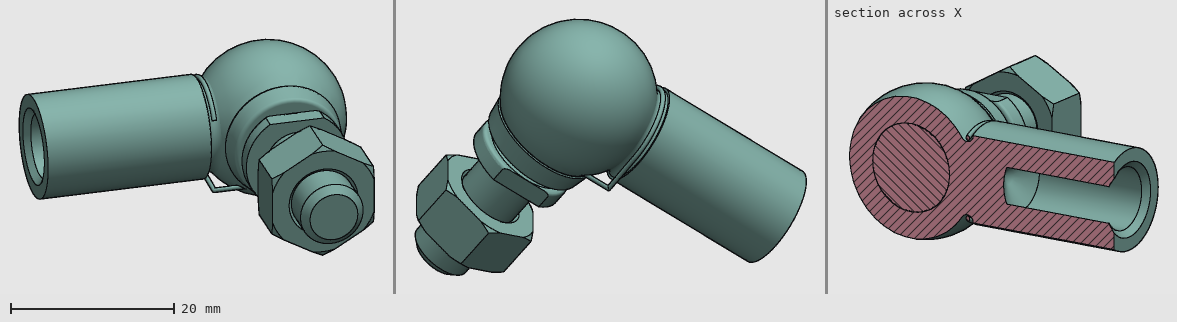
import cadquery as cq
import math

HEAD_RADIUS = 9.65
RIM_X = 6.55
BALL_RADIUS = 6.5

SHANK_RADIUS = 6.5
SHANK_END = 29.92
SHANK_START = 9.05
NECK_START = 7.6
NECK_RADIUS = 5.75
NECK_SHOULDER_RADIUS = 6.17

THREAD_RADIUS = 4.0
BORE_DEPTH = 15.85
BORE_CHAMFER = 0.8
DRILL_POINT_ANGLE = 118.0

SEAL_END_X = 9.65
SEAL_LARGE_RADIUS = 7.35
SEAL_SMALL_RADIUS = 6.8
SEAL_EDGE_CHAMFER = 0.15
SEAL_EDGE_FILLET = 0.5

STUD_NECK_RADIUS = 4.27
FLARE_RADIUS = 5.45
FLARE_SAG = 0.15
FLANGE_START_X = 10.65
FLANGE_END_X = 13.0
FLANGE_RADIUS = 6.5
FLANGE_ACROSS_FLATS = 11.0
FLANGE_EDGE_ROUND = 0.47
STUD_END_X = 29.4
STUD_END_CHAMFER = 0.95

NUT_START_X = 18.3
NUT_HEIGHT = 6.5
NUT_ACROSS_FLATS = 13.0
NUT_FACE_RADIUS = 6.8
NUT_CHAMFER_ANGLE = 30.0
NUT_COUNTERSINK = 0.4

WIRE_RADIUS = 0.295
CLIP_RADIUS = 6.1
CLIP_Y = -8.35
CLIP_OPEN_ANGLE = 31.0
CLIP_LEG_SLOPE = 3.0
CLIP_LEG_X = 5.2
CLIP_LEG_END_Y = -3.55


def revolve_about_x(profile):
    """Closed profile in XY (x along the axis, y as radius) turned into a solid."""
    return profile.close().revolve(360, (0, 0, 0), (1, 0, 0))


def revolve_about_y(profile):
    """Closed profile in XY (y along the axis, x as radius) turned into a solid."""
    return profile.close().revolve(360, (0, 0, 0), (0, 1, 0))


def polar_on_clip(angle):
    """Point on the clip circle, as (x, z)."""
    turn = math.radians(angle)
    return CLIP_RADIUS * math.cos(turn), CLIP_RADIUS * math.sin(turn)


LEG_TANGENT_ANGLE = 270.0 - CLIP_LEG_SLOPE
LEG_TANGENT_X, LEG_TANGENT_Z = polar_on_clip(LEG_TANGENT_ANGLE)
CLIP_LEG_Z = LEG_TANGENT_Z - (CLIP_LEG_X - LEG_TANGENT_X) * math.tan(math.radians(CLIP_LEG_SLOPE))


def make_leg_end():
    """Straight end of the wire that runs along +Y into the head."""
    return (
        cq.Workplane("XZ", origin=(CLIP_LEG_X, CLIP_Y, CLIP_LEG_Z))
        .circle(WIRE_RADIUS)
        .extrude(CLIP_Y - CLIP_LEG_END_Y)
    )


def make_clip():
    """Wire around the neck whose lower end runs straight, then turns into the head."""
    start_x, start_z = polar_on_clip(CLIP_OPEN_ANGLE)
    middle_angle = (CLIP_OPEN_ANGLE + LEG_TANGENT_ANGLE) / 2
    path = (
        cq.Workplane("XZ", origin=(0, CLIP_Y, 0))
        .moveTo(start_x, start_z)
        .threePointArc(polar_on_clip(middle_angle), (LEG_TANGENT_X, LEG_TANGENT_Z))
        .lineTo(CLIP_LEG_X, CLIP_LEG_Z)
    )
    open_turn = math.radians(CLIP_OPEN_ANGLE)
    wire_section = cq.Plane(
        origin=(start_x, CLIP_Y, start_z),
        xDir=(0, 1, 0),
        normal=(-math.sin(open_turn), 0, math.cos(open_turn)),
    )
    ring_and_leg = cq.Workplane(wire_section).circle(WIRE_RADIUS).sweep(path)
    corner = cq.Workplane("XY", origin=(CLIP_LEG_X, CLIP_Y, CLIP_LEG_Z)).sphere(WIRE_RADIUS)
    return ring_and_leg.union(corner).union(make_leg_end())


def make_housing():
    """Spherical head with a ball socket toward +X and a bored shank toward -Y."""
    head_edge_radius = math.sqrt(HEAD_RADIUS**2 - NECK_START**2)
    body = revolve_about_y(
        cq.Workplane("XY")
        .moveTo(0, HEAD_RADIUS)
        .threePointArc((HEAD_RADIUS, 0), (head_edge_radius, -NECK_START))
        .threePointArc((NECK_RADIUS, CLIP_Y), (NECK_SHOULDER_RADIUS, -SHANK_START))
        .lineTo(SHANK_RADIUS, -SHANK_START)
        .lineTo(SHANK_RADIUS, -SHANK_END)
        .lineTo(0, -SHANK_END)
    )
    beyond_rim = (
        cq.Workplane("YZ", origin=(RIM_X, 0, 0))
        .rect(2 * HEAD_RADIUS, 2 * HEAD_RADIUS)
        .extrude(HEAD_RADIUS)
    )

    bore_floor = -SHANK_END + BORE_DEPTH
    drill_point = THREAD_RADIUS / math.tan(math.radians(DRILL_POINT_ANGLE / 2))
    bore = revolve_about_y(
        cq.Workplane("XY")
        .moveTo(0, -SHANK_END)
        .lineTo(THREAD_RADIUS + BORE_CHAMFER, -SHANK_END)
        .lineTo(THREAD_RADIUS, -SHANK_END + BORE_CHAMFER)
        .lineTo(THREAD_RADIUS, bore_floor)
        .lineTo(0, bore_floor + drill_point)
    )

    socket = revolve_about_x(
        cq.Workplane("XY")
        .moveTo(-BALL_RADIUS, 0)
        .radiusArc((0, BALL_RADIUS), BALL_RADIUS)
        .lineTo(RIM_X, BALL_RADIUS)
        .lineTo(RIM_X, 0)
    )
    return body.cut(beyond_rim).cut(bore).cut(socket).cut(make_leg_end())


def make_seal():
    """Tapered ring that closes the housing mouth around the stud neck."""
    seal = revolve_about_x(
        cq.Workplane("XY")
        .moveTo(RIM_X, STUD_NECK_RADIUS)
        .lineTo(RIM_X, SEAL_LARGE_RADIUS - SEAL_EDGE_CHAMFER)
        .lineTo(RIM_X + SEAL_EDGE_CHAMFER, SEAL_LARGE_RADIUS)
        .lineTo(SEAL_END_X, SEAL_SMALL_RADIUS)
        .lineTo(SEAL_END_X, STUD_NECK_RADIUS)
    )
    outer_edge = cq.selectors.RadiusNthSelector(-1)
    return seal.faces(">X").edges(outer_edge).fillet(SEAL_EDGE_FILLET)


def make_stud():
    """Ball, neck, flange with two flats, and threaded end."""
    neck_start = math.sqrt(BALL_RADIUS**2 - STUD_NECK_RADIUS**2)
    stud = revolve_about_x(
        cq.Workplane("XY")
        .moveTo(-BALL_RADIUS, 0)
        .threePointArc((0, BALL_RADIUS), (neck_start, STUD_NECK_RADIUS))
        .lineTo(SEAL_END_X, STUD_NECK_RADIUS)
        .sagittaArc((FLANGE_START_X, FLARE_RADIUS), -FLARE_SAG)
        .lineTo(FLANGE_START_X, FLANGE_RADIUS - FLANGE_EDGE_ROUND)
        .radiusArc((FLANGE_START_X + FLANGE_EDGE_ROUND, FLANGE_RADIUS), FLANGE_EDGE_ROUND)
        .lineTo(FLANGE_END_X, FLANGE_RADIUS)
        .lineTo(FLANGE_END_X, THREAD_RADIUS)
        .lineTo(STUD_END_X - STUD_END_CHAMFER, THREAD_RADIUS)
        .lineTo(STUD_END_X, THREAD_RADIUS - STUD_END_CHAMFER)
        .lineTo(STUD_END_X, 0)
    )
    flange_middle_x = (FLANGE_START_X + FLANGE_END_X) / 2
    cutter_height = FLANGE_RADIUS
    for side in (1, -1):
        cutter_z = side * (FLANGE_ACROSS_FLATS + cutter_height) / 2
        beyond_flat = cq.Workplane("XY", origin=(flange_middle_x, 0, cutter_z)).box(
            FLANGE_END_X - FLANGE_START_X, 2 * FLANGE_RADIUS, cutter_height
        )
        stud = stud.cut(beyond_flat)
    return stud


def make_nut():
    """Hexagon nut with corners at +Z and -Z, chamfered and countersunk on both faces."""
    corner_radius = NUT_ACROSS_FLATS / math.sqrt(3)
    nut_end_x = NUT_START_X + NUT_HEIGHT
    hexagon = (
        cq.Workplane("YZ", origin=(NUT_START_X, 0, 0))
        .transformed(rotate=(0, 0, 90))
        .polygon(6, 2 * corner_radius)
        .extrude(NUT_HEIGHT)
    )
    chamfer_length = (corner_radius - NUT_FACE_RADIUS) * math.tan(math.radians(NUT_CHAMFER_ANGLE))
    envelope = revolve_about_x(
        cq.Workplane("XY")
        .moveTo(NUT_START_X, 0)
        .lineTo(NUT_START_X, NUT_FACE_RADIUS)
        .lineTo(NUT_START_X + chamfer_length, corner_radius)
        .lineTo(nut_end_x - chamfer_length, corner_radius)
        .lineTo(nut_end_x, NUT_FACE_RADIUS)
        .lineTo(nut_end_x, 0)
    )
    hole = revolve_about_x(
        cq.Workplane("XY")
        .moveTo(NUT_START_X, 0)
        .lineTo(NUT_START_X, THREAD_RADIUS + NUT_COUNTERSINK)
        .lineTo(NUT_START_X + NUT_COUNTERSINK, THREAD_RADIUS)
        .lineTo(nut_end_x - NUT_COUNTERSINK, THREAD_RADIUS)
        .lineTo(nut_end_x, THREAD_RADIUS + NUT_COUNTERSINK)
        .lineTo(nut_end_x, 0)
    )
    return hexagon.intersect(envelope).cut(hole)


housing = make_housing()
clip = make_clip()
seal = make_seal()
stud = make_stud()
nut = make_nut()

result = cq.Compound.makeCompound(
    [housing.val(), clip.val(), seal.val(), stud.val(), nut.val()]
)